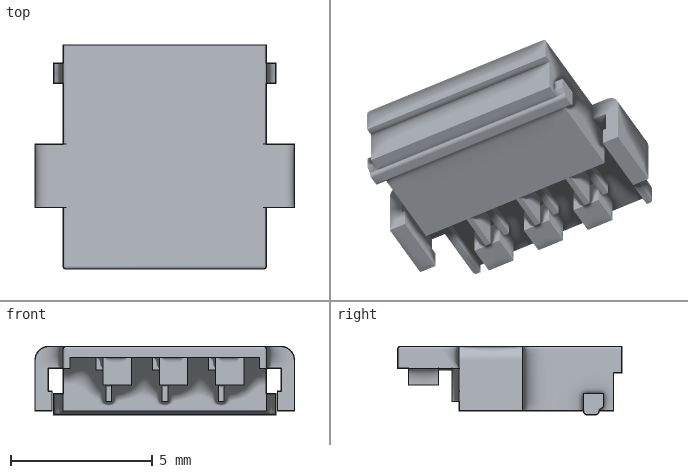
import cadquery as cq

total_width = 9.2
total_depth = 7.95
total_height = 2.43
front_y = -total_depth / 2
back_y = total_depth / 2

cover_width = 7.2
cover_thickness = 0.4
cover_wall = 0.25
overhang_depth = 0.78
cover_edge_radius = 0.11
body_front_offset = 3.58
body_bottom_z = 0.14
back_step_depth = 0.94
back_step_length = 0.29
body_front_y = front_y + body_front_offset
body_back_y = back_y - back_step_length

arm_front_offset = 2.18
arm_length = 2.25
arm_thickness = 0.48
arm_bridge_thickness = 0.78
arm_outer_radius = 0.5
hook_reach = 0.13
hook_height = 0.7

bar_width = 7.875
bar_back_offset = 0.64
bar_length = 0.72
bar_height = 0.75
bar_chamfer_length = 0.17
bar_chamfer_height = 0.13
bar_step_height = 0.17
bar_bottom_radius = 0.13

contact_count = 3
contact_pitch = 2.0
first_contact_x = -2.19
contact_width = 1.0
contact_front_offset = 0.39
contact_length = 1.07
contact_drop = 1.38
tab_width = 0.25
tab_front_offset = 1.18
tab_drop = 0.85
pin_width = 0.2
pin_inset = 0.1
pin_front_offset = 1.92
pin_drop = 1.96


def block(x_min, x_max, y_min, y_max, z_min, z_max):
    """Axis-aligned box given by its limits."""
    size = (x_max - x_min, y_max - y_min, z_max - z_min)
    return cq.Workplane("XY").box(*size, centered=False).translate((x_min, y_min, z_min))


def make_housing():
    """Cover with a thick front overhang, backed by the solid body."""
    half = cover_width / 2
    outer = block(-half, half, front_y, back_y, body_bottom_z, total_height)
    outer = outer.edges("|Z and <Y").fillet(cover_edge_radius)
    outer = outer.faces(">Z").edges("not >Y").fillet(cover_edge_radius)
    below_overhang = block(-half, half, front_y, body_front_y, 0, total_height - overhang_depth)
    back_step = block(-half, half, body_back_y, back_y, 0, total_height - back_step_depth)
    return outer.cut(below_overhang).cut(back_step)


def make_arms():
    """Bridge over the body whose ends bend down into inward-facing hooks."""
    half = total_width / 2
    inner_x = half - arm_thickness
    hook_x = inner_x - hook_reach
    hook_top_z = body_bottom_z + hook_height
    bridge_z = total_height - arm_bridge_thickness
    arm_front_y = front_y + arm_front_offset
    arm_back_y = arm_front_y + arm_length
    arms = block(-half, half, arm_front_y, arm_back_y, body_bottom_z, total_height)
    arms = arms.edges("|Y and >Z").fillet(arm_outer_radius)
    arms = arms.cut(block(-inner_x, inner_x, arm_front_y, arm_back_y, hook_top_z, bridge_z))
    return arms.cut(block(-hook_x, hook_x, arm_front_y, arm_back_y, body_bottom_z, hook_top_z))


def make_front_hollow():
    """Cavity under the front overhang and bridge, leaving the cover plate and side walls."""
    inside_x = cover_width / 2 - cover_wall
    return block(-inside_x, inside_x, front_y, body_front_y, 0, total_height - cover_thickness)


def make_latch_bar():
    """Full-width bar with a stepped, chamfered back and rounded bottom edges."""
    bar_back_y = back_y - bar_back_offset
    bar_front_y = bar_back_y - bar_length
    step_y = bar_back_y - bar_chamfer_length
    profile = [
        (bar_front_y, 0),
        (step_y, 0),
        (step_y, bar_step_height),
        (bar_back_y, bar_step_height + bar_chamfer_height),
        (bar_back_y, bar_height),
        (bar_front_y, bar_height),
    ]
    bar = cq.Workplane("YZ").polyline(profile).close().extrude(bar_width / 2, both=True)
    return bar.faces("<Z").edges("|X").fillet(bar_bottom_radius)


def make_contact(left_x):
    """Contact block with a side tab and a pin, hanging from the cover."""
    cover_under_z = total_height - cover_thickness
    contact_front_y = front_y + contact_front_offset
    contact = block(
        left_x, left_x + contact_width,
        contact_front_y, contact_front_y + contact_length,
        total_height - contact_drop, cover_under_z,
    )
    tab = block(
        left_x - tab_width, left_x,
        front_y + tab_front_offset, body_front_y,
        total_height - tab_drop, cover_under_z,
    )
    pin_x = left_x + pin_inset
    pin = block(
        pin_x, pin_x + pin_width,
        front_y + pin_front_offset, body_front_y,
        total_height - pin_drop, cover_under_z,
    )
    return contact.union(tab).union(pin)


result = make_housing().union(make_arms()).cut(make_front_hollow()).union(make_latch_bar())
for index in range(contact_count):
    result = result.union(make_contact(first_contact_x + index * contact_pitch))